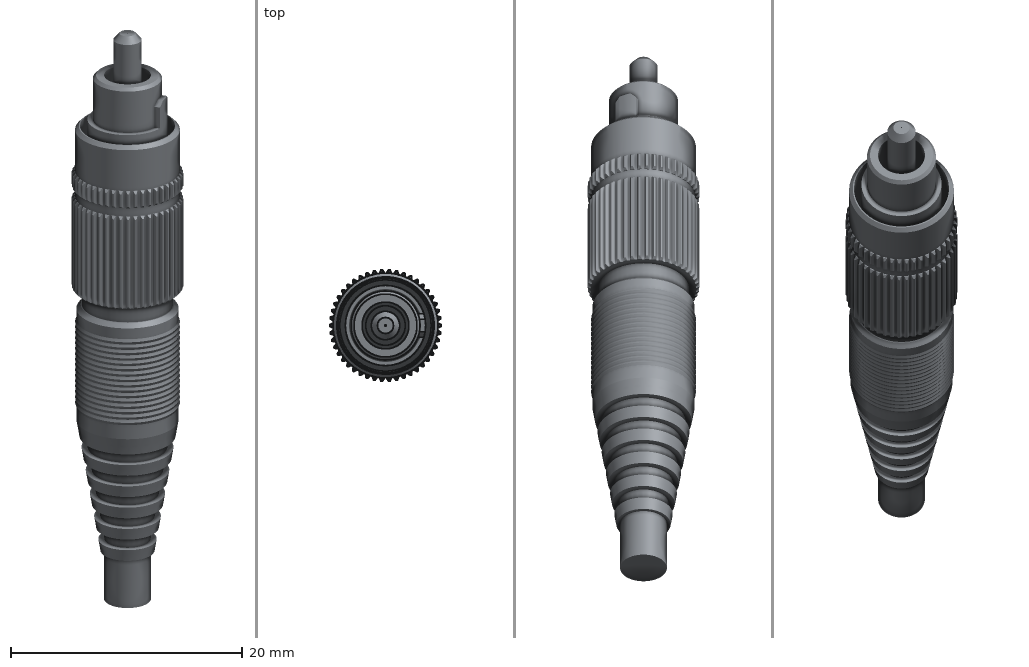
import cadquery as cq
import math

total_length = 53.3

ferrule_radius = 1.2
ferrule_tip_radius = 0.7
ferrule_tip_chamfer = 0.6
collar_radius = 1.7
fibre_hole_radius = 0.05

barrel_top = 49.35
barrel_radius = 3.0
barrel_rim_chamfer = 0.25
shoulder_radius = 3.45
shoulder_top = 45.2
socket_radius = 2.0

key_top = 47.65
key_half_width = 1.0
key_corner_chamfer = 0.5

nut_top = 44.55
nut_bottom = 29.3
nut_radius = 4.55
nut_rim_chamfer = 0.3
nut_bore_radius = 4.1
grip_diameter = 9.65
grip_radius = grip_diameter / 2
upper_grip_top = 40.4
upper_grip_bottom = 38.8
lower_grip_top = 38.0
tooth_count = 46
tooth_land_share = 0.2
tooth_floor_share = 0.3
grip_bevel = 0.2

sleeve_radius = 3.95
sleeve_top = 35.3
boot_radius = 4.4
boot_top = 27.75
boot_rim_chamfer = 0.35
ring_zone_top = 26.4
ring_radius = 4.55
ring_pitch = 0.505
ring_count = 16
taper_top = 16.95
taper_end_radius = 2.35
taper_bottom = 4.6
rib_zone_top = 15.4
rib_count = 5
rib_pitch = (rib_zone_top - taper_bottom) / rib_count
rib_height = rib_pitch / 2
rib_depth = 0.55
cable_radius = 2.0


def revolve(points):
    """Solid of revolution about Z from a closed outline of (radius, z) points."""
    return cq.Workplane("XZ").polyline(points).close().revolve(360, (0, 0, 0), (0, 1, 0))


def tube(outer_radius, inner_radius, bottom, top):
    """Straight tube on the Z axis between two heights."""
    return (
        cq.Workplane("XY").workplane(offset=bottom)
        .circle(outer_radius).circle(inner_radius).extrude(top - bottom)
    )


def make_ferrule():
    """Pin with a tapered tip, a collar at its root and a fine hole along its axis."""
    outline = [
        (fibre_hole_radius, sleeve_top),
        (collar_radius, sleeve_top),
        (collar_radius, shoulder_top),
        (ferrule_radius, shoulder_top),
        (ferrule_radius, total_length - ferrule_tip_chamfer),
        (ferrule_tip_radius, total_length),
        (fibre_hole_radius, total_length),
    ]
    return revolve(outline)


def make_key():
    """Key that stands on the shoulder and follows its outer cylinder."""
    height = key_top - shoulder_top
    block = (
        cq.Workplane("XY").workplane(offset=shoulder_top)
        .center(shoulder_radius / 2, 0).rect(shoulder_radius, 2 * key_half_width).extrude(height)
        .faces(">Z").edges("|X").chamfer(key_corner_chamfer)
    )
    wall = tube(shoulder_radius, socket_radius, shoulder_top, key_top)
    return block.intersect(wall)


def make_barrel():
    """Stepped tube with an open socket around the ferrule and a key on its +X side."""
    outline = [
        (collar_radius, sleeve_top),
        (shoulder_radius, sleeve_top),
        (shoulder_radius, shoulder_top),
        (barrel_radius, shoulder_top),
        (barrel_radius, barrel_top - barrel_rim_chamfer),
        (barrel_radius - barrel_rim_chamfer, barrel_top),
        (socket_radius, barrel_top),
        (socket_radius, shoulder_top),
        (collar_radius, shoulder_top),
    ]
    return revolve(outline).union(make_key())


def make_grip(bottom, top):
    """Ring of tapered teeth with bevelled ends, one tooth on the +X axis."""
    pitch = 2 * math.pi / tooth_count
    half_land = tooth_land_share * pitch / 2
    half_foot = (1 - tooth_floor_share) * pitch / 2
    points = []
    for index in range(tooth_count):
        middle = index * pitch
        for radius, angle in [
            (nut_radius, middle - half_foot),
            (grip_radius, middle - half_land),
            (grip_radius, middle + half_land),
            (nut_radius, middle + half_foot),
        ]:
            points.append((radius * math.cos(angle), radius * math.sin(angle)))
    band = (
        cq.Workplane("XY").workplane(offset=bottom)
        .polyline(points).close().circle(nut_bore_radius).extrude(top - bottom)
    )
    envelope = (
        cq.Workplane("XY").workplane(offset=bottom)
        .circle(grip_radius).extrude(top - bottom).edges().chamfer(grip_bevel)
    )
    return band.intersect(envelope)


def make_nut():
    """Coupling nut with two knurled bands; its rear bore fits the boot sleeve."""
    outline = [
        (sleeve_radius, nut_bottom),
        (nut_radius, nut_bottom),
        (nut_radius, nut_top - nut_rim_chamfer),
        (nut_radius - nut_rim_chamfer, nut_top),
        (nut_bore_radius, nut_top),
        (nut_bore_radius, sleeve_top),
        (sleeve_radius, sleeve_top),
    ]
    upper_grip = make_grip(upper_grip_bottom, upper_grip_top)
    lower_grip = make_grip(nut_bottom, lower_grip_top)
    return revolve(outline).union(upper_grip).union(lower_grip)


def taper_radius(z):
    """Radius of the straight taper that carries the ribs."""
    slope = (boot_radius - taper_end_radius) / (taper_top - taper_bottom)
    return taper_end_radius + slope * (z - taper_bottom)


def make_boot():
    """Bend-relief boot with grip rings and tapering ribs, in one piece with the cable."""
    outline = [
        (0, sleeve_top),
        (sleeve_radius, sleeve_top),
        (sleeve_radius, boot_top),
        (boot_radius - boot_rim_chamfer, boot_top),
        (boot_radius, boot_top - boot_rim_chamfer),
    ]
    for index in range(ring_count):
        start = ring_zone_top - index * ring_pitch
        outline.append((boot_radius, start))
        outline.append((ring_radius, start - ring_pitch / 2))
    outline.append((boot_radius, ring_zone_top - ring_count * ring_pitch))
    outline.append((boot_radius, taper_top))
    for index in reversed(range(rib_count)):
        rib_bottom = taper_bottom + index * rib_pitch
        rib_top = rib_bottom + rib_height
        groove_top = rib_bottom + rib_pitch
        outline.append((taper_radius(groove_top), groove_top))
        outline.append((taper_radius(groove_top) - rib_depth, groove_top))
        outline.append((taper_radius(rib_top) - rib_depth, rib_top))
        outline.append((taper_radius(rib_top), rib_top))
    outline += [
        (taper_end_radius, taper_bottom),
        (cable_radius, taper_bottom),
        (cable_radius, 0),
        (0, 0),
    ]
    return revolve(outline)


ferrule = make_ferrule()
barrel = make_barrel()
nut = make_nut()
boot = make_boot()

result = cq.Compound.makeCompound([ferrule.val(), barrel.val(), nut.val(), boot.val()])